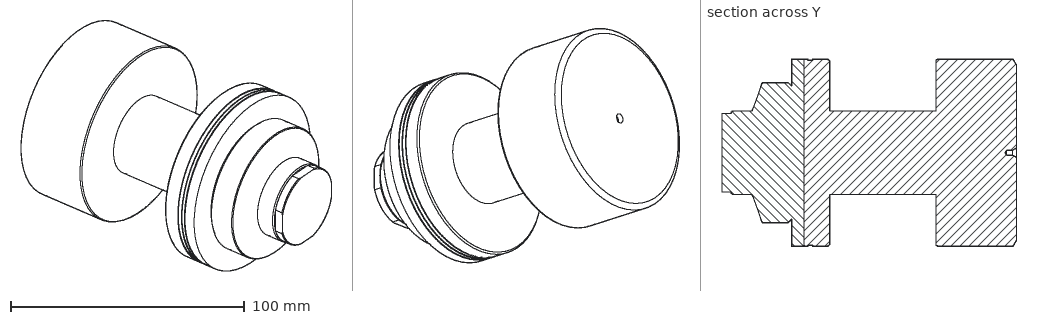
import cadquery as cq
import math

overall_length = 126.0
disc_diameter = 80.0
disc_radius = disc_diameter / 2
shaft_radius = 17.9

head_length = 34.5
head_front_chamfer_length = 1.5
head_front_chamfer_depth = 2.5
head_back_chamfer_length = 0.8
head_back_chamfer_depth = 0.4

centre_mouth_radius = 2.0
centre_pilot_radius = 1.0
centre_cone_half_angle = math.radians(30)
centre_pilot_length = 2.5
drill_tip_half_angle = math.radians(59)

flange_start = 79.9
flange_end = 96.1
flange_chamfer = 0.8
groove_start = 87.2
groove_width = 2.0
groove_depth = 0.4
joint_x = 91.0
joint_chamfer = 0.19

collar_radius = 30.0
collar_chamfer = 1.5
collar_end = 109.0
collar_back_chamfer = 0.4
cone_end = 113.1

stub_end = 122.1
stub_chamfer_length = 0.8
stub_chamfer_depth = 0.4
tip_radius = 17.6
tip_chamfer = 0.4
tip_across_flats = 33.6


def revolve_profile(points):
    """Turn a closed outline of (x, radius) points about the X axis."""
    return cq.Workplane("XY").polyline(points).close().revolve(360, (0, 0, 0), (1, 0, 0))


def make_centre_hole():
    """Tapered mouth, straight pilot and pointed bottom, as cut by a centre drill."""
    cone_depth = (centre_mouth_radius - centre_pilot_radius) / math.tan(centre_cone_half_angle)
    pilot_end = cone_depth + centre_pilot_length
    tip_depth = centre_pilot_radius / math.tan(drill_tip_half_angle)
    return revolve_profile([
        (0, 0),
        (0, centre_mouth_radius),
        (cone_depth, centre_pilot_radius),
        (pilot_end, centre_pilot_radius),
        (pilot_end + tip_depth, 0),
    ])


def make_spool():
    """Head, shaft and the grooved front part of the flange."""
    groove_end = groove_start + groove_width
    groove_radius = disc_radius - groove_depth
    blank = revolve_profile([
        (0, 0),
        (0, disc_radius - head_front_chamfer_depth),
        (head_front_chamfer_length, disc_radius),
        (head_length - head_back_chamfer_length, disc_radius),
        (head_length, disc_radius - head_back_chamfer_depth),
        (head_length, shaft_radius),
        (flange_start, shaft_radius),
        (flange_start, disc_radius - flange_chamfer),
        (flange_start + flange_chamfer, disc_radius),
        (groove_start, disc_radius),
        (groove_start, groove_radius),
        (groove_end, groove_radius),
        (groove_end, disc_radius),
        (joint_x - joint_chamfer, disc_radius),
        (joint_x, disc_radius - joint_chamfer),
        (joint_x, 0),
    ])
    return blank.cut(make_centre_hole())


def make_tip():
    """Short round end with four flats, facing up, down and to both sides."""
    tip = revolve_profile([
        (stub_end, 0),
        (stub_end, tip_radius),
        (overall_length - tip_chamfer, tip_radius),
        (overall_length, tip_radius - tip_chamfer),
        (overall_length, 0),
    ])
    flat_block = (
        cq.Workplane("YZ", origin=(stub_end, 0, 0))
        .rect(tip_across_flats, tip_across_flats)
        .extrude(overall_length - stub_end)
    )
    return tip.intersect(flat_block)


def make_end_piece():
    """Back part of the flange, collar, cone, stub and flatted tip."""
    body = revolve_profile([
        (joint_x, 0),
        (joint_x, disc_radius - joint_chamfer),
        (joint_x + joint_chamfer, disc_radius),
        (flange_end, disc_radius),
        (flange_end, collar_radius - collar_chamfer),
        (flange_end + collar_chamfer, collar_radius),
        (collar_end - collar_back_chamfer, collar_radius),
        (collar_end, collar_radius - collar_back_chamfer),
        (cone_end, shaft_radius),
        (stub_end - stub_chamfer_length, shaft_radius),
        (stub_end, shaft_radius - stub_chamfer_depth),
        (stub_end, 0),
    ])
    return body.union(make_tip())


spool = make_spool()
end_piece = make_end_piece()
result = cq.Compound.makeCompound([spool.val(), end_piece.val()])